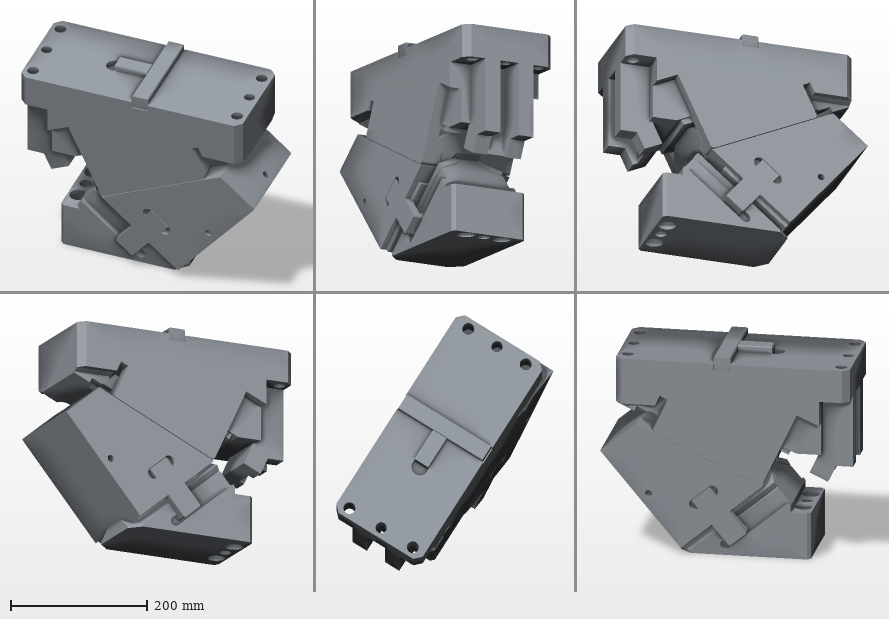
import cadquery as cq
import math

REACH = 1115.5
WIDTH = 150.0
GUIDE_ANGLE = 25.0
DRIVE_ANGLE = 40.0
ROOF_ANGLE = 30.0

HOLDER_LENGTH = 349.5
HOLDER_TOP = 299.5
CORNER_CHAMFER = 10.0
FLANGE_BOTTOM = 250.0
FLANGE_BACK = 45.0
TAIL_BOTTOM = 230.0
TAIL_DROP = 3.7
TAIL_FLANK_WIDTH = 10.0
TAIL_WEDGE_WIDTH = 109.5
TAIL_FRONT = 290.0

NOSE_U = 166.5
GUIDE_V = 48.0
SHOULDER_V = 173.0
STOP_U = 347.0
RELIEF_END_U = 359.5
RELIEF_V = 102.5
RAMP_V = 55.8
NOSE_FILLET = 5.2

BLOCK_WIDTH = 112.3
BLOCK_BOTTOM = 161.5
BLOCK_V = 111.5
TONGUE_U = 152.0
TONGUE_WIDTH = 104.0
HOOK_WIDTH = 81.0
HOOK_SLOT_WIDTH = 31.2
HOOK_BOTTOM = 140.5
HOOK_U = (83.0, 113.0)
HOOK_V = 88.5

NECK_WIDTH = 83.3
NECK_SLOT_WIDTH = 90.7
HEAD_WIDTH = 109.5
HEAD_SLOT_WIDTH = 111.5
HEAD_V = (66.2, 89.2)
RIDGE_V = 103.0
RIDGE_END_U = 350.3

KEY_TOP = 309.0
KEY_BOTTOM = 289.5
KEY_CHAMFER = 2.2
CROSS_KEY_X = (177.5, 203.0)
CROSS_KEY_LENGTH = 146.0
LONG_KEY_START = 126.5
LONG_KEY_WIDTH = 24.5
KEYWAY_START = 109.5

FRONT_HOLE_X = 14.5
FRONT_HOLE_Y = 55.0
REAR_HOLE_X = 334.5
REAR_HOLE_Y = 50.0
SCREW_HOLE_DIAMETER = 17.5
DOWEL_HOLE_DIAMETER = 16.5
REAR_HOLE_DEPTH = 49.5
NOTCH_U = 367.0
NOTCH_RADIUS = 16.5
NOTCH_DEPTH = 8.5

DRIVER_X = (60.0, 257.5)
DRIVER_WIDTH = 123.0
STEP_TOP = 71.0
STEP_BACK = 89.5
DRIVER_FRONT_CHAMFER = 5.2
DRIVER_REAR_CHAMFER = 17.5
STEP_HOLE_X = 76.0
STEP_HOLE_Y = 30.0
STEP_SCREW_DIAMETER = 25.5
STEP_DOWEL_DIAMETER = 17.5

RAMP_START_S = 16.0
EAVES_N = 157.5
RIDGE_FLAT_WIDTH = 40.0
CHANNEL_WIDTH = 105.0
CHANNEL_FLOOR_N = 125.5
CHANNEL_ROOF_N = 151.5
CHANNEL_END_S = 111.5
HOOK_GROOVE_N = 140.0
HOOK_GROOVE_END_S = 140.5
WEAR_FACE_THICKNESS = 10.0
WEAR_FACE_INSET = 3.0
WEAR_FACE_START_S = 15.0

SLIDER_TOP_V = 47.0
SLIDER_BOTTOM_N = 170.5
SLIDER_TOP_N = 357.7
SLIDER_END_S = 185.2
PAD_START_S = 58.5
PAD_BOTTOM_N = 166.0
PAD_WIDTH = 131.5
TAB_S = (90.7, 125.0)
TAB_BOTTOM_N = 129.0
TAB_GAP = 125.0
TAB_HOOK_GAP = 106.5
TAB_HOOK_HEIGHT = 8.0
TAB_CHAMFER = 2.0
TAB_POCKET_N = 209.5
TAB_POCKET_RADIUS = 8.5
TAB_POCKET_SEAM = 1.0
TAB_POCKET_DEPTH = 10.0
SIDE_HOLE_X = 299.5
SIDE_HOLE_Z = 93.0
SMALL_HOLE_DIAMETER = 10.5
SMALL_HOLE_DEPTH = 18.5
END_HOLE_S = 170.7

GUIDE_COS = math.cos(math.radians(GUIDE_ANGLE))
GUIDE_SIN = math.sin(math.radians(GUIDE_ANGLE))
DRIVE_COS = math.cos(math.radians(DRIVE_ANGLE))
DRIVE_SIN = math.sin(math.radians(DRIVE_ANGLE))
ROOF_COS = math.cos(math.radians(ROOF_ANGLE))
ROOF_SIN = math.sin(math.radians(ROOF_ANGLE))
ROOF_SLOPE = ROOF_SIN / ROOF_COS

UPRIGHT = cq.Plane.XZ()
GUIDE = cq.Plane((0, 0, 0), (GUIDE_COS, 0, GUIDE_SIN), (0, -1, 0))
DRIVE = cq.Plane((0, 0, 0), (DRIVE_COS, 0, -DRIVE_SIN), (0, -1, 0))


def guide_point(u, v):
    """X and Z of a point given along and across the guide."""
    return (u * GUIDE_COS - v * GUIDE_SIN, u * GUIDE_SIN + v * GUIDE_COS)


def drive_point(s, n):
    """X and Z of a point given along and across the driver ramp."""
    return (s * DRIVE_COS + n * DRIVE_SIN, n * DRIVE_COS - s * DRIVE_SIN)


def slab(plane, points, width):
    """Outline in a plane square to Y, extruded to a width centred on Y = 0."""
    return cq.Workplane(plane).polyline(points).close().extrude(width / 2, both=True)


def block(plane, first, second, width):
    """Rectangle between two ranges, as a slab centred on Y = 0."""
    start, end = first
    low, high = second
    points = [(start, low), (end, low), (end, high), (start, high)]
    return slab(plane, points, width)


def both_sides(shape):
    """A shape and its mirror image across Y = 0."""
    return shape.union(shape.mirror("XZ"))


def ramp_prism(points, start, end):
    """Section in Y and n, extruded along the driver ramp."""
    origin = (start * DRIVE_COS, 0, -start * DRIVE_SIN)
    plane = cq.Plane(origin, (0, 1, 0), (DRIVE_COS, 0, -DRIVE_SIN))
    return cq.Workplane(plane).polyline(points).close().extrude(end - start)


def roof_prism():
    """Everything below the driver roof: two tilted flanks and a flat ridge."""
    side = DRIVER_WIDTH / 2
    flat = RIDGE_FLAT_WIDTH / 2
    ridge = EAVES_N + (side - flat) * ROOF_SLOPE
    points = [
        (-side, -REACH), (-side, EAVES_N), (-flat, ridge),
        (flat, ridge), (side, EAVES_N), (side, -REACH),
    ]
    return ramp_prism(points, -REACH, REACH)


def hole_row(x, spacing, screw_diameter, dowel_diameter, bottom=0):
    """Two screw holes along Z with a dowel hole midway between them, open at the top."""
    holes = cq.Workplane("XY", (x, 0, bottom)).circle(dowel_diameter / 2).extrude(REACH)
    screws = (
        cq.Workplane("XY", (x, 0, bottom))
        .pushPoints([(0, -spacing), (0, spacing)])
        .circle(screw_diameter / 2)
        .extrude(REACH)
    )
    return holes.union(screws)


def holder_plate():
    outline = [
        (0, HOLDER_TOP),
        (HOLDER_LENGTH, HOLDER_TOP),
        (HOLDER_LENGTH, TAIL_BOTTOM),
        (TAIL_FRONT, TAIL_BOTTOM),
        guide_point(STOP_U, RELIEF_V),
        guide_point(STOP_U, GUIDE_V),
        guide_point(NOSE_U, GUIDE_V),
        guide_point(NOSE_U, SHOULDER_V),
        (FLANGE_BACK, (SHOULDER_V + FLANGE_BACK * GUIDE_SIN) / GUIDE_COS),
        (FLANGE_BACK, FLANGE_BOTTOM),
        (0, FLANGE_BOTTOM),
    ]
    plate = slab(UPRIGHT, outline, WIDTH)
    corners = [guide_point(NOSE_U, GUIDE_V), guide_point(STOP_U, GUIDE_V)]
    for x, z in corners:
        plate = plate.edges(cq.selectors.NearestToPointSelector((x, 0, z))).fillet(NOSE_FILLET)

    ramp_end = (HOLDER_LENGTH, (RAMP_V + HOLDER_LENGTH * GUIDE_SIN) / GUIDE_COS)
    meeting_angle = math.radians(GUIDE_ANGLE + DRIVE_ANGLE)
    ramp_start_u = (SLIDER_TOP_N - RAMP_V * math.cos(meeting_angle)) / math.sin(meeting_angle)
    wedge = slab(
        UPRIGHT,
        [
            (TAIL_FRONT, TAIL_BOTTOM),
            (HOLDER_LENGTH, TAIL_BOTTOM),
            ramp_end,
            guide_point(ramp_start_u, RAMP_V),
            (TAIL_FRONT, (SLIDER_TOP_N - TAIL_FRONT * DRIVE_SIN) / DRIVE_COS),
        ],
        WIDTH,
    )
    low = TAIL_WEDGE_WIDTH / 2
    high = low + TAIL_FLANK_WIDTH
    flank = (
        cq.Workplane("YZ")
        .polyline([
            (-high, HOLDER_TOP), (-high, TAIL_BOTTOM), (-low, TAIL_BOTTOM - TAIL_DROP), (-low, 0),
            (low, 0), (low, TAIL_BOTTOM - TAIL_DROP), (high, TAIL_BOTTOM), (high, HOLDER_TOP),
        ])
        .close()
        .extrude(HOLDER_LENGTH)
    )
    plate = plate.union(wedge.intersect(flank))
    return plate.cut(block(GUIDE, (STOP_U, RELIEF_END_U), (0, RELIEF_V), WIDTH))


def holder_front():
    """Block in front of the guide and the hook in front of the block."""
    front_block = slab(
        UPRIGHT,
        [
            (FLANGE_BACK, FLANGE_BOTTOM),
            guide_point(NOSE_U, SHOULDER_V),
            guide_point(NOSE_U, BLOCK_V),
            ((BLOCK_BOTTOM * GUIDE_COS - BLOCK_V) / GUIDE_SIN, BLOCK_BOTTOM),
            (FLANGE_BACK, BLOCK_BOTTOM),
        ],
        BLOCK_WIDTH,
    )
    tongue = block(GUIDE, (TONGUE_U, NOSE_U), (RIDGE_V, BLOCK_V), TONGUE_WIDTH)
    hook = block(UPRIGHT, (0, FLANGE_BACK), (HOOK_BOTTOM, FLANGE_BOTTOM), HOOK_WIDTH)
    hook = hook.union(block(GUIDE, HOOK_U, (HOOK_V, SHOULDER_V), HOOK_WIDTH))
    hook = hook.cut(block(UPRIGHT, (0, FLANGE_BACK), (0, FLANGE_BOTTOM), HOOK_SLOT_WIDTH))
    return front_block.union(tongue).union(hook)


def holder_guide_slot():
    neck = block(GUIDE, (NOSE_U, RELIEF_END_U), (0, RIDGE_V), NECK_SLOT_WIDTH)
    head = block(GUIDE, (NOSE_U, RELIEF_END_U), (HEAD_V[0], RIDGE_V), HEAD_SLOT_WIDTH)
    return neck.union(head)


def holder_keyways():
    cross = block(UPRIGHT, CROSS_KEY_X, (KEY_BOTTOM, HOLDER_TOP), WIDTH)
    radius = LONG_KEY_WIDTH / 2
    centre = KEYWAY_START + radius
    round_end = cq.Workplane("XY", (centre, 0, KEY_BOTTOM)).circle(radius).extrude(REACH)
    straight = block(UPRIGHT, (centre, CROSS_KEY_X[0]), (KEY_BOTTOM, HOLDER_TOP), LONG_KEY_WIDTH)
    return cross.union(straight).union(round_end)


def holder_keys():
    cross = block(UPRIGHT, CROSS_KEY_X, (KEY_BOTTOM, KEY_TOP), CROSS_KEY_LENGTH)
    long_key = block(UPRIGHT, (LONG_KEY_START, CROSS_KEY_X[0]), (KEY_BOTTOM, KEY_TOP), LONG_KEY_WIDTH)
    cross = cross.edges("|Y and >Z").chamfer(KEY_CHAMFER, KEY_CHAMFER / 2)
    long_key = long_key.edges("|X and >Z").chamfer(KEY_CHAMFER, KEY_CHAMFER / 2)
    return cross.union(long_key)


def holder_notches():
    """Round notches in both flanks of the tail wedge."""
    x, z = guide_point(NOTCH_U, RAMP_V)
    side = TAIL_WEDGE_WIDTH / 2
    plane = cq.Plane((x, -side, z), (GUIDE_COS, 0, GUIDE_SIN), (-GUIDE_SIN, 0, GUIDE_COS))
    return both_sides(cq.Workplane(plane).circle(NOTCH_RADIUS).extrude(NOTCH_DEPTH))


def make_holder():
    plan = block(UPRIGHT, (0, HOLDER_LENGTH), (0, HOLDER_TOP), WIDTH).edges("|Z").chamfer(CORNER_CHAMFER)
    body = holder_plate().intersect(plan)
    body = body.union(holder_front()).cut(holder_guide_slot()).cut(holder_notches())
    body = body.cut(holder_keyways()).union(holder_keys())
    front_holes = hole_row(FRONT_HOLE_X, FRONT_HOLE_Y, SCREW_HOLE_DIAMETER, DOWEL_HOLE_DIAMETER)
    rear_bottom = HOLDER_TOP - REAR_HOLE_DEPTH
    rear_holes = hole_row(REAR_HOLE_X, REAR_HOLE_Y, SCREW_HOLE_DIAMETER, DOWEL_HOLE_DIAMETER, rear_bottom)
    return body.cut(front_holes).cut(rear_holes)


def wear_face_edge():
    """Lower and upper edge of a wear face, as Y and n on the -Y side; the edge is square to the roof."""
    inner = CHANNEL_WIDTH / 2 - WEAR_FACE_INSET
    inner_n = CHANNEL_ROOF_N + WEAR_FACE_INSET * ROOF_SLOPE
    lip = inner + WEAR_FACE_THICKNESS * ROOF_SIN
    lip_n = inner_n + WEAR_FACE_THICKNESS * ROOF_COS
    return (-inner, inner_n), (-lip, lip_n)


def driver_wear_face():
    """Strip along one roof flank, standing slightly proud of the ramp's front face."""
    lower, upper = wear_face_edge()
    run = upper[0] + RIDGE_FLAT_WIDTH / 2
    rise = -run * ROOF_SLOPE
    section = [lower, upper, (upper[0] - run, upper[1] + rise), (lower[0] - run, lower[1] + rise)]
    return ramp_prism(section, WEAR_FACE_START_S, CHANNEL_END_S)


def driver_channel():
    """Side channel under the overhanging wear face, with a round-ended groove for the tab hook."""
    wall = CHANNEL_WIDTH / 2
    lower, upper = wear_face_edge()
    section = [
        (-WIDTH / 2, CHANNEL_FLOOR_N), (-wall, CHANNEL_FLOOR_N), (-wall, CHANNEL_ROOF_N),
        lower, upper, (-WIDTH / 2, upper[1]),
    ]
    channel = ramp_prism(section, -REACH, CHANNEL_END_S)

    radius = (HOOK_GROOVE_N - CHANNEL_FLOOR_N) / 2
    centre = HOOK_GROOVE_END_S - radius
    groove = (
        cq.Workplane(DRIVE)
        .workplane(offset=wall)
        .moveTo(0, CHANNEL_FLOOR_N)
        .lineTo(centre, CHANNEL_FLOOR_N)
        .threePointArc((HOOK_GROOVE_END_S, CHANNEL_FLOOR_N + radius), (centre, HOOK_GROOVE_N))
        .lineTo(0, HOOK_GROOVE_N)
        .close()
        .extrude(WIDTH)
    )
    return channel.union(groove)


def make_driver():
    front, rear = DRIVER_X
    ramp_foot_z = (STEP_BACK * DRIVE_COS - RAMP_START_S) / DRIVE_SIN
    outline = [
        (front, 0),
        (front, STEP_TOP),
        (STEP_BACK, STEP_TOP),
        (STEP_BACK, ramp_foot_z),
        drive_point(RAMP_START_S, SLIDER_TOP_N),
        (rear, HOLDER_TOP),
        (rear, 0),
    ]
    body = slab(UPRIGHT, outline, DRIVER_WIDTH)
    body = body.edges("|Z and <X").chamfer(DRIVER_FRONT_CHAMFER)
    body = body.edges("|Z and >X").chamfer(DRIVER_REAR_CHAMFER)
    body = body.union(both_sides(driver_wear_face()))
    body = body.intersect(roof_prism()).cut(both_sides(driver_channel()))
    return body.cut(hole_row(STEP_HOLE_X, STEP_HOLE_Y, STEP_SCREW_DIAMETER, STEP_DOWEL_DIAMETER))


def slider_block():
    """Wide block, T neck, T head and ridge, all trimmed to the same ramp outline."""
    trim = block(DRIVE, (-REACH, SLIDER_END_S), (SLIDER_BOTTOM_N, SLIDER_TOP_N), WIDTH)
    wide = block(GUIDE, (0, REACH), (-REACH, SLIDER_TOP_V), WIDTH)
    neck = block(GUIDE, (NOSE_U, REACH), (0, HEAD_V[1]), NECK_WIDTH)
    head = block(GUIDE, (NOSE_U, REACH), HEAD_V, HEAD_WIDTH)
    ridge_flat = HEAD_WIDTH / 2 - (RIDGE_V - HEAD_V[1]) / ROOF_SLOPE
    plane = cq.Plane((NOSE_U * GUIDE_COS, 0, NOSE_U * GUIDE_SIN), (0, 1, 0), (GUIDE_COS, 0, GUIDE_SIN))
    ridge = (
        cq.Workplane(plane)
        .polyline([
            (-HEAD_WIDTH / 2, HEAD_V[1]), (-ridge_flat, RIDGE_V),
            (ridge_flat, RIDGE_V), (HEAD_WIDTH / 2, HEAD_V[1]),
        ])
        .close()
        .extrude(RIDGE_END_U - NOSE_U)
    )
    return wide.union(neck).union(head).union(ridge).intersect(trim)


def slider_pad():
    """Pad under the block that rides on the driver roof; its edges are square to the roof."""
    high = PAD_WIDTH / 2
    low = high - (SLIDER_BOTTOM_N - PAD_BOTTOM_N) * ROOF_SLOPE
    section = [(-high, SLIDER_BOTTOM_N), (-low, PAD_BOTTOM_N), (low, PAD_BOTTOM_N), (high, SLIDER_BOTTOM_N)]
    return ramp_prism(section, PAD_START_S, SLIDER_END_S)


def slider_tab():
    """Side tab with a hook that reaches into the driver groove."""
    outer = WIDTH / 2
    gap = TAB_GAP / 2
    hook_gap = TAB_HOOK_GAP / 2
    hook_top = TAB_BOTTOM_N + TAB_HOOK_HEIGHT
    section = [
        (-outer, SLIDER_BOTTOM_N), (-outer, TAB_BOTTOM_N), (-hook_gap, TAB_BOTTOM_N),
        (-hook_gap, hook_top), (-gap, hook_top), (-gap, SLIDER_BOTTOM_N),
    ]
    tab = ramp_prism(section, *TAB_S)
    ends = [drive_point(s, TAB_BOTTOM_N) for s in TAB_S]
    for x, z in ends:
        edge = cq.selectors.NearestToPointSelector((x, -(outer + hook_gap) / 2, z))
        tab = tab.edges(edge).chamfer(TAB_CHAMFER)
    return tab


def slider_tab_pocket():
    """Round-ended slot in the side face, filled between its end arcs except for a seam at the top."""
    start, end = TAB_S
    slot = (
        cq.Workplane(DRIVE)
        .workplane(offset=WIDTH / 2 - TAB_POCKET_DEPTH)
        .center((start + end) / 2, TAB_POCKET_N)
        .slot2D(end - start + 2 * TAB_POCKET_RADIUS, 2 * TAB_POCKET_RADIUS)
        .extrude(TAB_POCKET_DEPTH)
    )
    filled_top = TAB_POCKET_N + TAB_POCKET_RADIUS - TAB_POCKET_SEAM
    return slot.cut(block(DRIVE, TAB_S, (0, filled_top), WIDTH))


def slider_holes():
    side = (
        cq.Workplane(UPRIGHT)
        .workplane(offset=WIDTH / 2 - SMALL_HOLE_DEPTH)
        .center(SIDE_HOLE_X, SIDE_HOLE_Z)
        .circle(SMALL_HOLE_DIAMETER / 2)
        .extrude(SMALL_HOLE_DEPTH)
    )
    x, z = drive_point(END_HOLE_S, SLIDER_TOP_N - SMALL_HOLE_DEPTH)
    plane = cq.Plane((x, 0, z), (0, 1, 0), (DRIVE_SIN, 0, DRIVE_COS))
    end = cq.Workplane(plane).circle(SMALL_HOLE_DIAMETER / 2).extrude(SMALL_HOLE_DEPTH)
    return both_sides(side).union(end)


def make_slider():
    body = slider_block().union(slider_pad()).cut(roof_prism())
    body = body.union(both_sides(slider_tab()))
    return body.cut(both_sides(slider_tab_pocket())).cut(slider_holes())


holder = make_holder()
slider = make_slider()
driver = make_driver()

result = cq.Compound.makeCompound([
    holder.solids().val(),
    slider.solids().val(),
    driver.solids().val(),
])